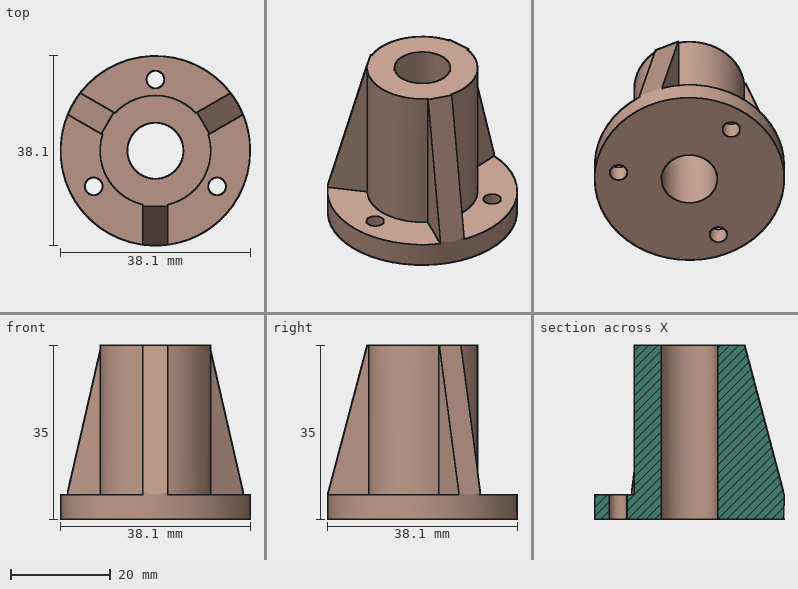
import cadquery as cq

flange_diameter = 38.1
flange_thickness = 5.0

total_height = 35.0
hub_diameter = 22.2
bore_diameter = 11.21

rib_count = 3
rib_thickness = 5.0
first_rib_angle = -90.0

hole_diameter = 3.5
hole_circle_radius = 14.3

rib_spacing = 360.0 / rib_count
first_hole_angle = first_rib_angle + rib_spacing / 2
flange_radius = flange_diameter / 2
hub_radius = hub_diameter / 2


def make_disc(diameter, height):
    """Cylinder on the Z axis standing on Z = 0."""
    return cq.Workplane("XY").circle(diameter / 2).extrude(height)


def make_rib(angle):
    """Rib sloping from the hub top down to the flange rim, along the given direction."""
    profile = [
        (0, 0),
        (flange_radius, 0),
        (flange_radius, flange_thickness),
        (hub_radius, total_height),
        (0, total_height),
    ]
    rib = cq.Workplane("XZ").polyline(profile).close().extrude(rib_thickness / 2, both=True)
    return rib.rotate((0, 0, 0), (0, 0, 1), angle)


def make_ribs():
    """All ribs, with their outer corners trimmed to the round flange rim."""
    ribs = make_rib(first_rib_angle)
    for index in range(1, rib_count):
        ribs = ribs.union(make_rib(first_rib_angle + index * rib_spacing))
    return ribs.intersect(make_disc(flange_diameter, total_height))


def make_mounting_holes():
    """Cutters for the holes through the flange."""
    return (
        cq.Workplane("XY")
        .polarArray(hole_circle_radius, first_hole_angle, 360, rib_count)
        .circle(hole_diameter / 2)
        .extrude(flange_thickness)
    )


flange = make_disc(flange_diameter, flange_thickness)
hub = make_disc(hub_diameter, total_height)
bore = make_disc(bore_diameter, total_height)

result = flange.union(hub).union(make_ribs()).cut(bore).cut(make_mounting_holes())